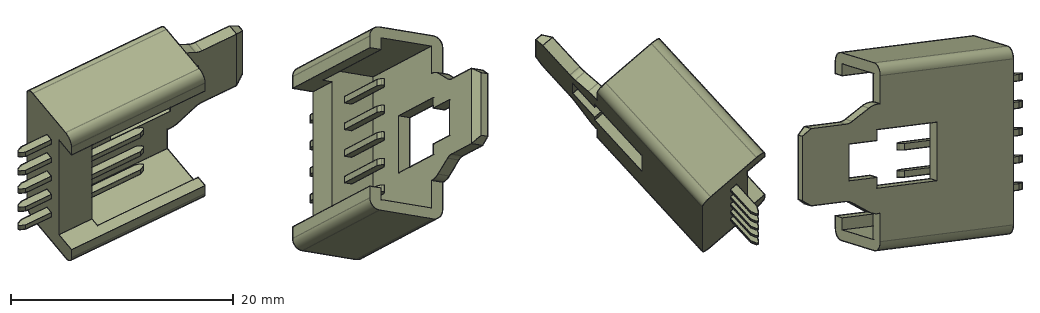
import cadquery as cq
import math


body_width = 7.5
body_depth = 14.2
body_height = 17.2
edge_radius = 1.0
x_back = -body_width / 2
x_open = body_width / 2
back_wall = 1.17
side_wall = 1.0
lip_wall = back_wall
floor_thickness = 3.5
slot_depth = 2.1
slot_height = 13.0

tab_tip = 22.5
tab_half_width = 3.54
root_half_width = 5.02
flare_start = 17.5
flare_angle = math.radians(30)
flare_inner_radius = 1.4
flare_outer_radius = 2.0
tip_chamfer_length = 0.95
tip_chamfer_side = 0.6
tip_chamfer_face = 0.48

window_start = 8.17
window_step = 14.53
window_end = flare_start
window_wide = 5.36
window_narrow = 3.36

pin_count = 5
pin_pitch = 2.5
pin_width = 0.75
pin_height = 0.6
pin_tail = 3.3
pin_top = 10.0
pin_taper = 0.46
nose_width = 0.33
nose_length = 0.1


def box(x_range, y_range, height):
    """Box spanning two ranges in X and Y, centred on Z = 0."""
    return (
        cq.Workplane("XY")
        .box(x_range[1] - x_range[0], y_range[1] - y_range[0], height)
        .translate((sum(x_range) / 2, sum(y_range) / 2, 0))
    )


def make_housing():
    """Rounded block with a cavity open at +Y and a slot along the +X side."""
    block = box((x_back, x_open), (0, body_depth), body_height).edges("|Y").fillet(edge_radius)
    cavity = box(
        (x_back + back_wall, x_open - lip_wall),
        (floor_thickness, body_depth),
        body_height - 2 * side_wall,
    )
    slot = box((x_open - slot_depth, x_open), (0, body_depth), slot_height)
    return block.cut(cavity).cut(slot)


def make_tab():
    """Flat latch tab with a flared root and a bevelled tip."""
    flare_end = flare_start - (root_half_width - tab_half_width) / math.tan(flare_angle)
    root = body_depth - edge_radius
    shoulder = tab_tip - tip_chamfer_length
    tip_half_width = tab_half_width - tip_chamfer_side
    upper_edge = [
        (root, root_half_width),
        (flare_end, root_half_width),
        (flare_start, tab_half_width),
        (shoulder, tab_half_width),
        (tab_tip, tip_half_width),
    ]
    lower_edge = [(y, -z) for y, z in reversed(upper_edge)]
    tab = (
        cq.Workplane("YZ", origin=(x_back, 0, 0))
        .polyline(upper_edge + lower_edge)
        .close()
        .extrude(back_wall)
    )
    flare_middle = (flare_start + flare_end) / 2
    for y_from, y_to, radius in (
        ((root + flare_end) / 2, flare_middle, flare_outer_radius),
        (flare_middle, (flare_start + shoulder) / 2, flare_inner_radius),
    ):
        corners = cq.selectors.BoxSelector((x_back, y_from, -body_height), (x_open, y_to, body_height))
        tab = tab.edges("|X").edges(corners).fillet(radius)

    x_inner = x_back + back_wall
    bevel = (
        cq.Workplane("XY")
        .polyline([(x_inner, shoulder), (x_inner, tab_tip), (x_inner - tip_chamfer_face, tab_tip)])
        .close()
        .extrude(body_height / 2, both=True)
    )
    return tab.cut(bevel)


def make_window():
    """Cutter for the stepped opening: a wide part and a narrower part beyond it."""
    x_range = (x_back, x_back + back_wall)
    wide = box(x_range, (window_start, window_step), window_wide)
    narrow = box(x_range, (window_step, window_end), window_narrow)
    return wide.union(narrow)


def make_pin(z):
    """Straight pin with both ends tapered in X to a rounded nose."""
    half = pin_width / 2
    nose = nose_width / 2
    tail_end = -pin_tail
    tail_nose = tail_end + nose_length
    top_nose = pin_top - nose_length
    return (
        cq.Workplane("XY", origin=(0, 0, z))
        .moveTo(-nose, tail_nose)
        .threePointArc((0, tail_end), (nose, tail_nose))
        .lineTo(half, tail_nose + pin_taper)
        .lineTo(half, top_nose - pin_taper)
        .lineTo(nose, top_nose)
        .threePointArc((0, pin_top), (-nose, top_nose))
        .lineTo(-half, top_nose - pin_taper)
        .lineTo(-half, tail_nose + pin_taper)
        .close()
        .extrude(pin_height / 2, both=True)
    )


result = make_housing().union(make_tab()).cut(make_window())
for index in range(pin_count):
    result = result.union(make_pin((index - (pin_count - 1) / 2) * pin_pitch))